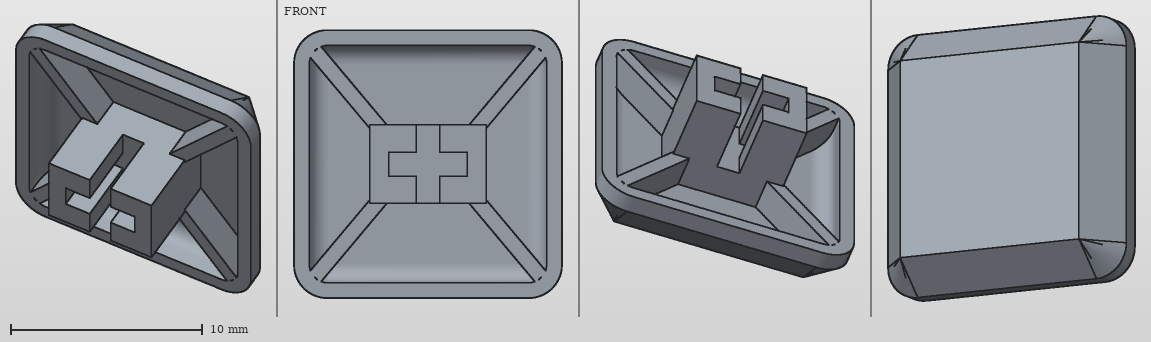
import cadquery as cq
import math

cap_side = 14.0
rim_height = 1.0
taper_height = 2.0
taper_inset = 1.75
wall = 0.8
cavity_side = cap_side - 2 * wall
floor_radius = 1.0
cavity_lip = 0.75
cavity_depth = cavity_lip + floor_radius

stem_width = 6.1
stem_depth = 4.1
stem_length = 3.6
stem_root = 0.28
slot_width = 1.25
cross_width = 4.1

rib_width = 0.8
rib_angle = math.radians(50)


def block(width, height, y_start, y_end):
    """Centred block of X width and Z height, between two Y planes."""
    return cq.Workplane("XY").box(width, y_end - y_start, height).translate((0, (y_start + y_end) / 2, 0))


def bordered_block(core_side, y_start, y_end, border_profile):
    """Sharp square core wrapped in a border profile that pivots 90 degrees about each corner.

    border_profile(workplane) draws the closed section, with local X pointing
    outward from the core's side and local Y along the part's Y axis.
    """
    half = core_side / 2
    body = block(core_side, core_side, y_start, y_end)
    side = border_profile(cq.Workplane("XY", origin=(half, y_start, -half))).extrude(core_side)
    corner = border_profile(cq.Workplane("XY", origin=(half, y_start, half)))
    corner = corner.revolve(90, (0, 0), (0, -1))
    for turn in range(4):
        angle = 90 * turn
        body = body.union(side.rotate((0, 0, 0), (0, 1, 0), angle))
        body = body.union(corner.rotate((0, 0, 0), (0, 1, 0), angle))
    return body


def cap_envelope():
    """Rim band, then flat slopes joined by quarter cones up to the sharp-cornered back face."""
    def section(workplane):
        return (
            workplane.lineTo(taper_inset, 0)
            .lineTo(taper_inset, rim_height)
            .lineTo(0, rim_height + taper_height)
            .close()
        )

    return bordered_block(cap_side - 2 * taper_inset, 0, rim_height + taper_height, section)


def cavity():
    """Straight lip, then quarter-round walls with spherical corners down to the flat floor."""
    def section(workplane):
        return (
            workplane.lineTo(floor_radius, 0)
            .lineTo(floor_radius, cavity_lip)
            .radiusArc((0, cavity_depth), -floor_radius)
            .close()
        )

    return bordered_block(cavity_side - 2 * floor_radius, 0, cavity_depth, section)


def ribs():
    """Four ribs from the cavity corners to the stem, kept inside the shell."""
    corner = cavity_side / 2 - floor_radius * (1 - math.sqrt(0.5))
    reach = corner / math.sin(rib_angle)
    bar = (
        block(2 * reach, rib_width, 0, cavity_depth)
        .translate((-reach, 0, 0))
        .rotate((0, 0, 0), (0, 1, 0), -math.degrees(rib_angle))
        .translate((corner, 0, corner))
    )
    quadrant = block(cavity_side, cavity_side, 0, cavity_depth).translate((cavity_side / 2, 0, cavity_side / 2))
    bar = bar.intersect(quadrant)
    pair = bar.union(bar.mirror("YZ"))
    return pair.union(pair.mirror("XY"))


def stem():
    post = block(stem_width, stem_depth, -stem_length, cavity_depth + stem_root)
    vertical_slot = block(slot_width, stem_depth, -stem_length, 0)
    cross_slot = block(cross_width, slot_width, -stem_length, 0)
    return post.cut(vertical_slot).cut(cross_slot)


result = cap_envelope().cut(cavity()).union(ribs()).union(stem())